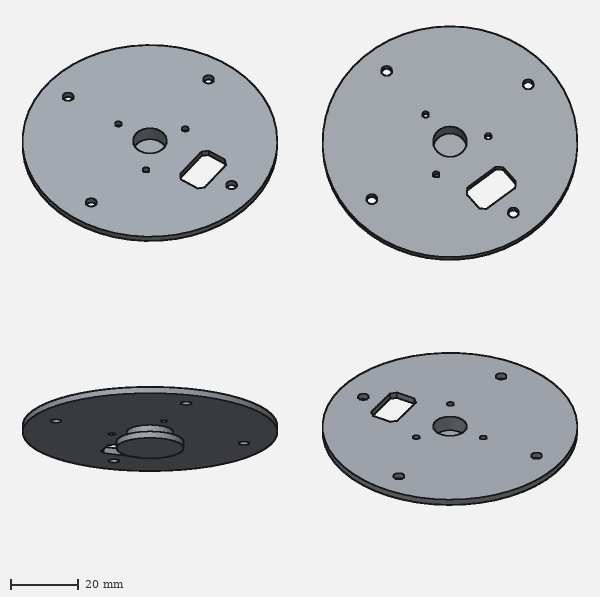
import cadquery as cq
import math

flange_diameter = 20.0
flange_thickness = 2.0

neck_diameter = 14.0
neck_height = 3.0

plate_diameter = 76.0
plate_thickness = 2.0

bore_diameter = 10.0
bore_depth = plate_thickness + neck_height

rim_hole_count = 4
rim_hole_diameter = 3.2
rim_hole_circle_radius = 30.0

hub_hole_count = 3
hub_hole_diameter = 2.0
hub_hole_spacing = 20.0
hub_hole_circle_radius = hub_hole_spacing / math.sqrt(3)
hub_hole_start_angle = 180.0

window_inner_x = 15.0
window_length_x = 9.0
window_width_y = 14.0
window_corner_chamfer = 1.5

plate_bottom_z = flange_thickness + neck_height
plate_top_z = plate_bottom_z + plate_thickness


def disc(diameter, thickness, bottom_z):
    """Solid disc centred on the Z axis."""
    return cq.Workplane("XY").workplane(offset=bottom_z).circle(diameter / 2).extrude(thickness)


def plate_hole_ring(count, diameter, circle_radius, start_angle):
    """Cutters through the plate, evenly spaced on a circle."""
    return (
        cq.Workplane("XY")
        .workplane(offset=plate_bottom_z)
        .polarArray(circle_radius, start_angle, 360, count)
        .circle(diameter / 2)
        .extrude(plate_thickness)
    )


def window():
    """Cutter through the plate for the rectangular window."""
    return (
        cq.Workplane("XY")
        .workplane(offset=plate_bottom_z)
        .center(window_inner_x + window_length_x / 2, 0)
        .rect(window_length_x, window_width_y)
        .extrude(plate_thickness)
        .edges("|Z")
        .chamfer(window_corner_chamfer)
    )


flange = disc(flange_diameter, flange_thickness, 0)
neck = disc(neck_diameter, neck_height, flange_thickness)
plate = disc(plate_diameter, plate_thickness, plate_bottom_z)
bore = disc(bore_diameter, bore_depth, plate_top_z - bore_depth)
rim_holes = plate_hole_ring(rim_hole_count, rim_hole_diameter, rim_hole_circle_radius, 0)
hub_holes = plate_hole_ring(hub_hole_count, hub_hole_diameter, hub_hole_circle_radius, hub_hole_start_angle)

body = flange.union(neck).union(plate)
result = body.cut(bore).cut(rim_holes).cut(hub_holes).cut(window())